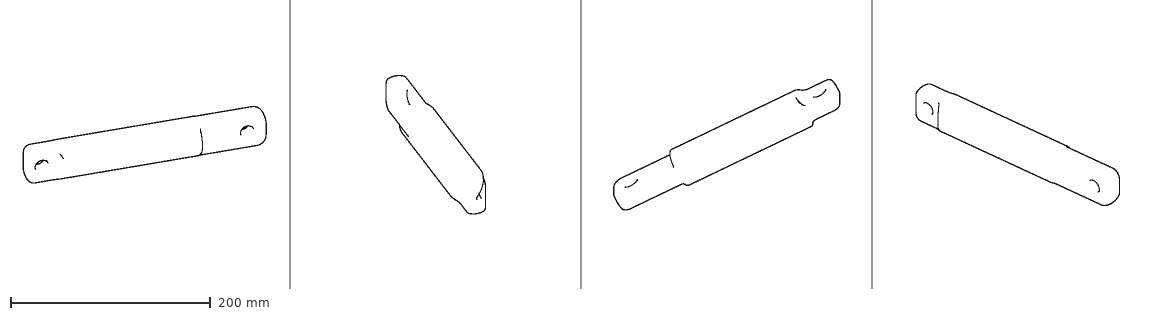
import cadquery as cq

length = 250.0
diameter = 40.0
edge_radius = 2.0

front_thickness = 18.0
front_end_radius = 7.5
front_hole_inset = 15.0
front_shoulder_radius = 22.5

back_thickness = 19.0
back_end_radius = 10.0
back_hole_inset = 20.0
back_tongue_length = 70.0

hole_diameter = 14.0
hole_edge_radius = 2.0

front_y = -length / 2
back_y = length / 2
front_hole_y = front_y + front_hole_inset
back_hole_y = back_y - back_hole_inset
cutter_size = 2 * diameter


def round_bar():
    """Solid cylinder with a different round at each end."""
    bar = cq.Workplane("XZ", origin=(0, back_y, 0)).circle(diameter / 2).extrude(length)
    bar = bar.faces("<Y").edges().fillet(front_end_radius)
    return bar.faces(">Y").edges().fillet(back_end_radius)


def front_cutter(side):
    """Material beside the front tongue: a disc about the hole axis, open to the end."""
    plane = cq.Workplane("YZ", origin=(side * front_thickness / 2, 0, 0))
    depth = side * diameter
    disc = plane.center(front_hole_y, 0).circle(front_shoulder_radius).extrude(depth)
    open_end = (
        plane.center(front_hole_y - cutter_size / 2, 0)
        .rect(cutter_size, 2 * front_shoulder_radius)
        .extrude(depth)
    )
    return disc.union(open_end)


def back_cutter(side):
    """Block of material beside the back tongue."""
    return cq.Workplane("XY").box(cutter_size, cutter_size, cutter_size).translate((
        side * (back_thickness + cutter_size) / 2,
        back_y - back_tongue_length + cutter_size / 2,
        0,
    ))


def pin_hole(y):
    """Through hole along X."""
    return (
        cq.Workplane("YZ", origin=(-diameter / 2, y, 0))
        .circle(hole_diameter / 2)
        .extrude(diameter)
    )


def tongue_edges(y_center, tongue_length, side, thickness):
    """Selects every edge on one side of a tongue: flat outline, root and shoulder."""
    x_center = side * (thickness + cutter_size) / 2
    x_half = cutter_size / 2 + edge_radius / 2
    y_half = tongue_length / 2 + edge_radius
    return cq.selectors.BoxSelector(
        (x_center - x_half, y_center - y_half, -diameter),
        (x_center + x_half, y_center + y_half, diameter),
    )


body = round_bar()
for side in (-1, 1):
    body = body.cut(front_cutter(side)).cut(back_cutter(side))

front_tongue_length = front_hole_inset + front_shoulder_radius
front_center_y = front_y + front_tongue_length / 2
back_center_y = back_y - back_tongue_length / 2
for side in (-1, 1):
    front_edges = tongue_edges(front_center_y, front_tongue_length, side, front_thickness)
    body = body.edges(front_edges).fillet(edge_radius)
    back_edges = tongue_edges(back_center_y, back_tongue_length, side, back_thickness)
    body = body.edges(back_edges).fillet(edge_radius)

for y in (front_hole_y, back_hole_y):
    body = body.cut(pin_hole(y))
result = body.faces("%PLANE and (|X)").edges("%CIRCLE").fillet(hole_edge_radius)